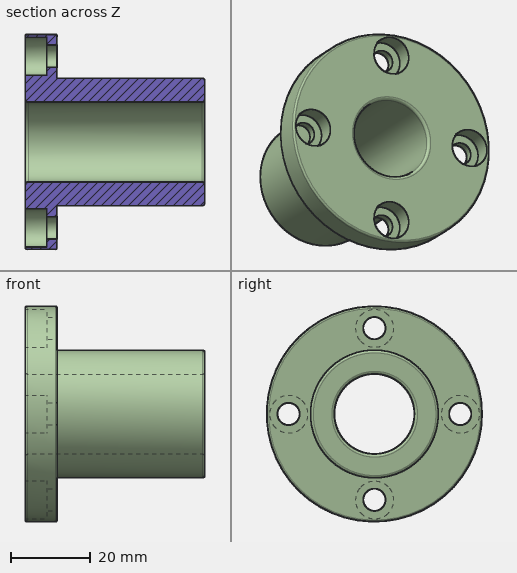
import cadquery as cq

flange_diameter = 54
flange_thickness = 8.0
flange_edge_round = 0.5

total_length = 45.0
sleeve_diameter = 32.0
sleeve_edge_round = 0.65

bore_diameter = 20
bore_edge_round = 0.75

screw_count = 4
screw_circle_diameter = 43.0
screw_hole_diameter = 5.5
counterbore_diameter = 9.5
counterbore_depth = 5.4


def make_cylinder(diameter, length):
    return cq.Workplane("YZ").circle(diameter / 2).extrude(length)


def make_flange():
    disc = make_cylinder(flange_diameter, flange_thickness)
    return disc.edges("%CIRCLE").fillet(flange_edge_round)


def make_sleeve():
    sleeve = make_cylinder(sleeve_diameter, total_length)
    return sleeve.faces(">X").edges().fillet(sleeve_edge_round)


def cut_bore(body):
    bored = body.cut(make_cylinder(bore_diameter, total_length))
    mouths = bored.faces("<X or >X").edges(cq.selectors.RadiusNthSelector(0))
    return mouths.fillet(bore_edge_round)


def make_screw_pattern(diameter, depth):
    centers = cq.Workplane("YZ").polarArray(screw_circle_diameter / 2, 0, 360, screw_count)
    return centers.circle(diameter / 2).extrude(depth)


def cut_screw_holes(body):
    holes = make_screw_pattern(screw_hole_diameter, flange_thickness)
    counterbores = make_screw_pattern(counterbore_diameter, counterbore_depth)
    return body.cut(holes).cut(counterbores)


bushing = make_flange().union(make_sleeve())
result = cut_screw_holes(cut_bore(bushing))